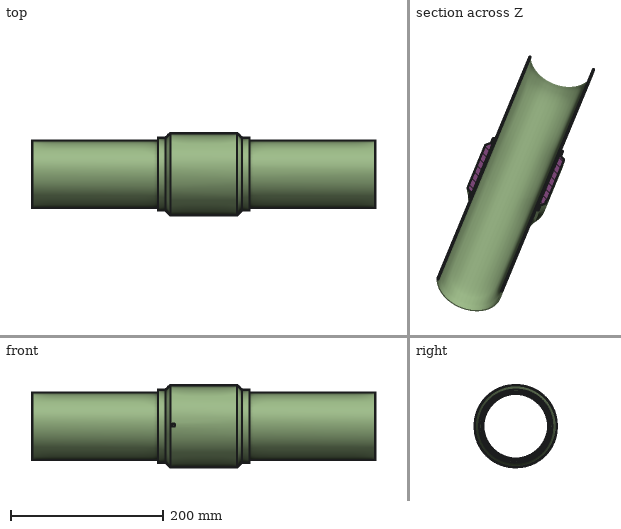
import cadquery as cq

PIPE_LENGTH = 450.0
PIPE_BORE_DIAMETER = 85.0
PIPE_WALL = 2.0
FIT_CLEARANCE = 0.248

SLEEVE_LENGTH = 120.0
COLLAR_WALL = 3.25
BODY_DIAMETER = 108.0
BODY_LENGTH = 87.8

DIMPLE_DIAMETER = 4.0
DIMPLE_DEPTH = 1.5
DIMPLE_EDGE_DISTANCE = 4.0
DIMPLE_Z = 1.5

PIPE_BORE_RADIUS = PIPE_BORE_DIAMETER / 2
PIPE_OUTER_RADIUS = PIPE_BORE_RADIUS + PIPE_WALL
SLEEVE_BORE_RADIUS = PIPE_OUTER_RADIUS + FIT_CLEARANCE
COLLAR_RADIUS = SLEEVE_BORE_RADIUS + COLLAR_WALL
BODY_RADIUS = BODY_DIAMETER / 2


def make_pipe():
    """Plain tube that runs through the sleeve."""
    section = cq.Workplane("YZ").circle(PIPE_OUTER_RADIUS).circle(PIPE_BORE_RADIUS)
    return section.extrude(PIPE_LENGTH / 2, both=True)


def make_dimple():
    """Cutter for the shallow round recess on the -Y side of the sleeve."""
    dimple_x = -BODY_LENGTH / 2 + DIMPLE_EDGE_DISTANCE
    floor = cq.Workplane("XZ", origin=(dimple_x, -BODY_RADIUS + DIMPLE_DEPTH, DIMPLE_Z))
    return floor.circle(DIMPLE_DIAMETER / 2).extrude(2 * DIMPLE_DEPTH)


def make_sleeve():
    """Sleeve with a thick body, and a 45 degree cone and a thin collar at each end."""
    end_x = SLEEVE_LENGTH / 2
    body_x = BODY_LENGTH / 2
    cone_x = body_x + BODY_RADIUS - COLLAR_RADIUS
    wall_section = (
        cq.Workplane("XY")
        .moveTo(-end_x, SLEEVE_BORE_RADIUS)
        .lineTo(-end_x, COLLAR_RADIUS)
        .lineTo(-cone_x, COLLAR_RADIUS)
        .lineTo(-body_x, BODY_RADIUS)
        .lineTo(body_x, BODY_RADIUS)
        .lineTo(cone_x, COLLAR_RADIUS)
        .lineTo(end_x, COLLAR_RADIUS)
        .lineTo(end_x, SLEEVE_BORE_RADIUS)
        .close()
    )
    return wall_section.revolve(360, (0, 0, 0), (1, 0, 0)).cut(make_dimple())


pipe = make_pipe()
sleeve = make_sleeve()

result = cq.Compound.makeCompound([pipe.val(), sleeve.val()])